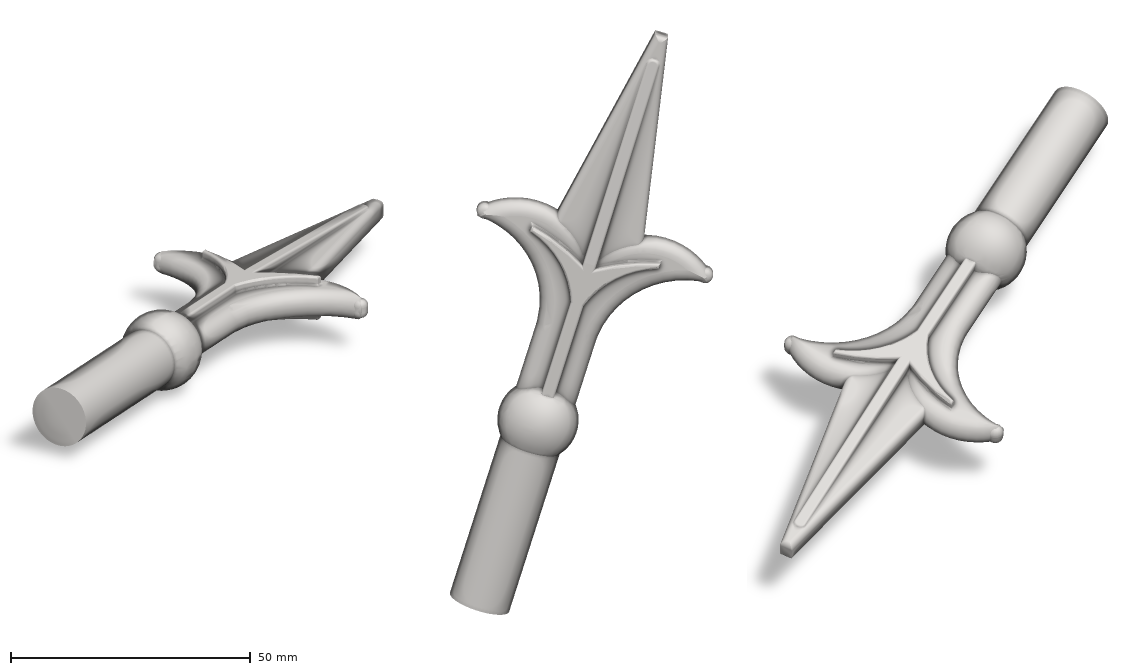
import cadquery as cq
import math


shaft_radius = 6.5
overall_length = 130.0
blade_tip_y = 88.3
shaft_end_y = blade_tip_y - overall_length
ball_radius = 8.5

plate_half_thickness = 3.0
stem_half_width = shaft_radius
stem_top_y = 19.6
arm_outer_radius = 19.5
arm_outer_center = (stem_half_width + arm_outer_radius, stem_top_y)
arm_inner_radius = 16.0
arm_inner_center = (14.0, 29.8)
arm_tip_x = 25.7
arm_tip_rounding = 2.9
arm_knob_radius = 1.7
arm_knob_half_thickness = 2.1
arm_knob_rounding = 1.4
arm_knob_y = 40.7
arm_end_x = 25.2
crotch_y = 35.6
crotch_half_width = 2.3

blade_tip_half_width = 1.4
blade_shoulder_y = 38.4
blade_shoulder_half_width = 10.7
blade_root_y = 33.8
blade_half_thickness = 2.5
blade_edge_rounding = 1.4
blade_end_rounding = 1.2

rib_width = 2.7
rib_half_width = rib_width / 2
rib_half_thickness = 5.0
rib_slope_start_y = 37.2
rib_end_y = 83.2
rib_end_half_thickness = 2.9
rib_end_rounding = 1.2
rib_rounding = 0.5
foot_rounding = 0.4

leaf_end_x = 14.0
leaf_end_low_y = 40.3
leaf_end_high_y = 41.5
leaf_root_low_y = 28.0
leaf_root_high_y = 36.3
leaf_low_mid = (6.1, 35.5)
leaf_high_mid = (8.2, 39.6)

tolerance = 0.01


def mirror_x(solid):
    return solid.union(solid.mirror("YZ"))


def rounded_disc(center, radius):
    """Disc with a fully rounded rim, axis along Z."""
    t = plate_half_thickness
    return (
        cq.Workplane("XZ")
        .moveTo(0, -t)
        .lineTo(radius - t, -t)
        .threePointArc((radius, 0), (radius - t, t))
        .lineTo(0, t)
        .close()
        .revolve(360, (0, 0, 0), (0, 1, 0))
        .translate((center[0], center[1], 0))
    )


def rounded_ring(center, radius, outer_radius):
    """Ring with a fully rounded bore, axis along Z."""
    t = plate_half_thickness
    return (
        cq.Workplane("XZ")
        .moveTo(outer_radius, -t)
        .lineTo(radius + t, -t)
        .threePointArc((radius, 0), (radius + t, t))
        .lineTo(outer_radius, t)
        .close()
        .revolve(360, (0, 0, 0), (0, 1, 0))
        .translate((center[0], center[1], 0))
    )


def make_shaft():
    """Round shaft ending in the ball."""
    shaft = cq.Workplane("XZ").circle(shaft_radius).extrude(-shaft_end_y)
    return shaft.union(cq.Workplane("XY").sphere(ball_radius))


def make_stem():
    """Straight flat stem with fully rounded sides."""
    return (
        cq.Workplane("XZ")
        .slot2D(2 * stem_half_width, 2 * plate_half_thickness)
        .extrude(-stem_top_y)
    )


def make_arm_ring():
    """Ring whose bore is the concave outer edge of one arm; it reaches past the far side."""
    reach = arm_outer_center[0] + 2 * stem_half_width
    return rounded_ring(arm_outer_center, arm_outer_radius, reach)


def make_arm():
    """Crescent between a ring and a disc, closed by a small rounded knob."""
    ring = make_arm_ring()
    disc = rounded_disc(arm_inner_center, arm_inner_radius)
    limit = (
        cq.Workplane("XY")
        .box(arm_end_x, 2 * arm_outer_radius, 2 * plate_half_thickness, centered=(False, False, True))
        .translate((0, stem_top_y, 0))
        .faces(">X")
        .edges("|Y")
        .fillet(arm_tip_rounding)
    )
    knob = (
        cq.Workplane("XY")
        .circle(arm_knob_radius)
        .extrude(arm_knob_half_thickness, both=True)
        .faces("<Z or >Z")
        .edges()
        .fillet(arm_knob_rounding)
        .translate((arm_tip_x - arm_knob_radius, arm_knob_y, 0))
    )
    return ring.intersect(disc).intersect(limit).union(knob)


def make_crotch():
    """Flat web that fills the fork between the two arms."""
    web = (
        cq.Workplane("XY")
        .polyline(
            [
                (-stem_half_width, stem_top_y),
                (stem_half_width, stem_top_y),
                (crotch_half_width, crotch_y),
                (-crotch_half_width, crotch_y),
            ]
        )
        .close()
        .extrude(plate_half_thickness, both=True)
    )
    ring = make_arm_ring()
    return web.intersect(ring).intersect(ring.mirror("YZ"))


def make_blade():
    """Tapered blade with rounded side edges and a rounded tip."""
    run = blade_tip_half_width - blade_shoulder_half_width
    rise = blade_tip_y - blade_shoulder_y
    edge_angle = math.degrees(math.atan2(-run, rise))
    edge_length = 2 * rise
    side = (
        cq.Workplane("XY")
        .box(edge_length, 2 * edge_length, 2 * blade_half_thickness)
        .faces(">X")
        .edges("|Y")
        .fillet(blade_edge_rounding)
        .translate((-edge_length / 2, 0, 0))
        .rotate((0, 0, 0), (0, 0, 1), edge_angle)
        .translate((blade_shoulder_half_width, blade_shoulder_y, 0))
    )
    end = (
        cq.Workplane("XY")
        .polyline(
            [
                (0, blade_root_y),
                (blade_shoulder_half_width, blade_shoulder_y),
                (blade_shoulder_half_width, blade_tip_y),
                (-blade_shoulder_half_width, blade_tip_y),
                (-blade_shoulder_half_width, blade_shoulder_y),
            ]
        )
        .close()
        .extrude(blade_half_thickness, both=True)
        .faces(">Y")
        .edges("|X")
        .fillet(blade_end_rounding)
    )
    return side.intersect(side.mirror("YZ")).intersect(end)


def make_rib():
    """Rib along the axis, full height on the stem and sloping down to the blade tip."""
    profile = [
        (0, 0),
        (0, rib_half_thickness),
        (rib_slope_start_y, rib_half_thickness),
        (rib_end_y, rib_end_half_thickness),
        (rib_end_y, 0),
    ]
    return (
        cq.Workplane("YZ")
        .polyline(profile)
        .close()
        .extrude(rib_half_width, both=True)
        .faces(">Y")
        .edges("|Z")
        .fillet(rib_end_rounding)
    )


def make_leaf():
    """Raised leaf that branches from the rib onto one arm."""
    return (
        cq.Workplane("XY")
        .moveTo(0, leaf_root_low_y)
        .lineTo(rib_half_width, leaf_root_low_y)
        .threePointArc(leaf_low_mid, (leaf_end_x, leaf_end_low_y))
        .lineTo(leaf_end_x, leaf_end_high_y)
        .threePointArc(leaf_high_mid, (rib_half_width, leaf_root_high_y))
        .lineTo(0, leaf_root_high_y)
        .close()
        .extrude(rib_half_thickness)
    )


def make_raised():
    """Rib and leaves with softened top edges, on both faces of the part."""
    leaves = mirror_x(make_leaf())
    upper = make_rib().union(leaves).faces(">Z").edges().fillet(rib_rounding)
    return upper.union(upper.mirror("XY"))


def is_foot(edge, raised):
    """True for an edge where a side wall of the raised rib meets the plate or the blade."""
    middle = edge.positionAt(0.5)
    height = abs(middle.z)
    on_wall = raised.val().distance(cq.Vertex.makeVertex(*middle.toTuple())) < tolerance
    on_flat = blade_half_thickness - tolerance < height < plate_half_thickness + tolerance
    short_of_tip = middle.y < rib_end_y - 2 * rib_end_rounding
    return on_wall and on_flat and short_of_tip


def fillet_feet(body, raised):
    """Fillet the inside corners along the foot of the rib and leaves."""
    feet = [edge for edge in body.edges().vals() if is_foot(edge, raised)]
    return body.newObject(feet).fillet(foot_rounding)


raised = make_raised()
body = mirror_x(make_arm()).union(make_stem()).union(make_crotch()).union(make_blade()).union(raised)
result = fillet_feet(body, raised).union(make_shaft())